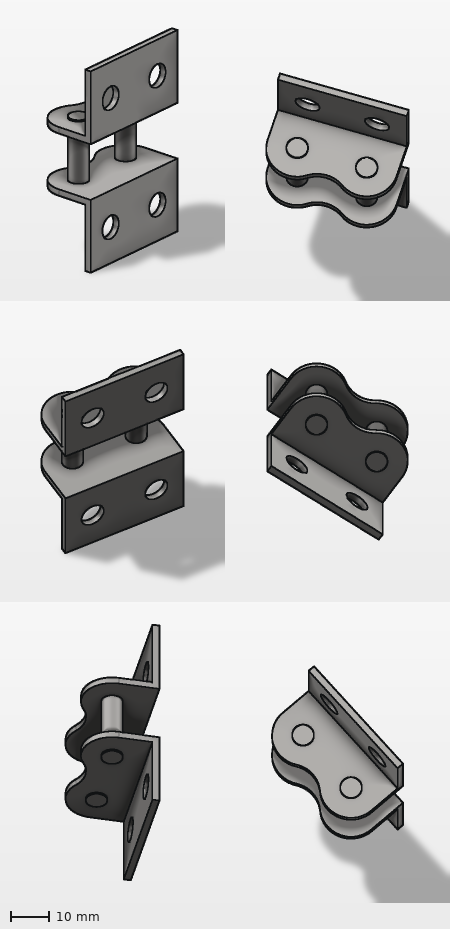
import cadquery as cq
import math

height = 57.6
width = 35.35
pitch = 19.05
depth = 19.1
thickness = 1.9
inner_gap = 15.9
pin_diameter = 5.7
pin_length = 20.6
hole_diameter = 6.6
hole_spacing_z = 36.9

half_pitch = pitch / 2
lobe_radius = (width - pitch) / 2
back_x = depth - lobe_radius
waist_center_x = -math.sqrt((2 * lobe_radius) ** 2 - half_pitch ** 2)
waist_x = waist_center_x + lobe_radius
tangent_x = waist_center_x / 2
tangent_y = half_pitch / 2


def link_plate():
    """Horizontal plate with two rounded lobes and a waist between them."""
    lobe_mid = (-lobe_radius, half_pitch)
    return (
        cq.Workplane("XY", origin=(0, 0, inner_gap / 2))
        .moveTo(back_x, width / 2)
        .lineTo(0, width / 2)
        .threePointArc(lobe_mid, (tangent_x, tangent_y))
        .threePointArc((waist_x, 0), (tangent_x, -tangent_y))
        .threePointArc((lobe_mid[0], -lobe_mid[1]), (0, -width / 2))
        .lineTo(back_x, -width / 2)
        .close()
        .extrude(thickness)
    )


def flange():
    """Upright plate with two through holes, rising from the link plate."""
    flange_height = (height - inner_gap) / 2
    plate = cq.Workplane("XY").box(
        thickness, width, flange_height, centered=(False, True, False)
    ).translate((back_x - thickness, 0, inner_gap / 2))
    holes = (
        cq.Workplane("YZ", origin=(back_x - thickness, 0, 0))
        .pushPoints([(y, hole_spacing_z / 2) for y in (-half_pitch, half_pitch)])
        .circle(hole_diameter / 2)
        .extrude(thickness)
    )
    return plate.cut(holes)


def pins():
    """Two pins joining the plates, slightly proud of their outer faces."""
    return (
        cq.Workplane("XY", origin=(0, 0, -pin_length / 2))
        .pushPoints([(0, -half_pitch), (0, half_pitch)])
        .circle(pin_diameter / 2)
        .extrude(pin_length)
    )


upper_bracket = link_plate().union(flange())
lower_bracket = upper_bracket.mirror("XY")
result = upper_bracket.union(lower_bracket).union(pins())